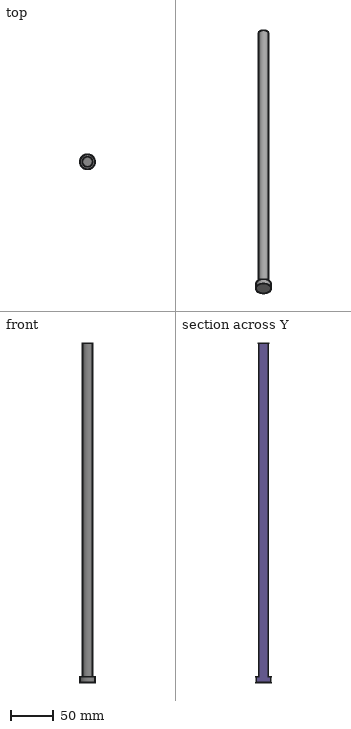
import cadquery as cq

overall_length = 400.0
head_diameter = 18.0
head_height = 7.0
shaft_diameter = 12.0


def make_head():
    """Disc head, resting on the XY plane."""
    return cq.Workplane("XY").circle(head_diameter / 2).extrude(head_height)


def make_shaft():
    """Round shaft running the full length, through the head."""
    return cq.Workplane("XY").circle(shaft_diameter / 2).extrude(overall_length)


result = make_head().union(make_shaft())